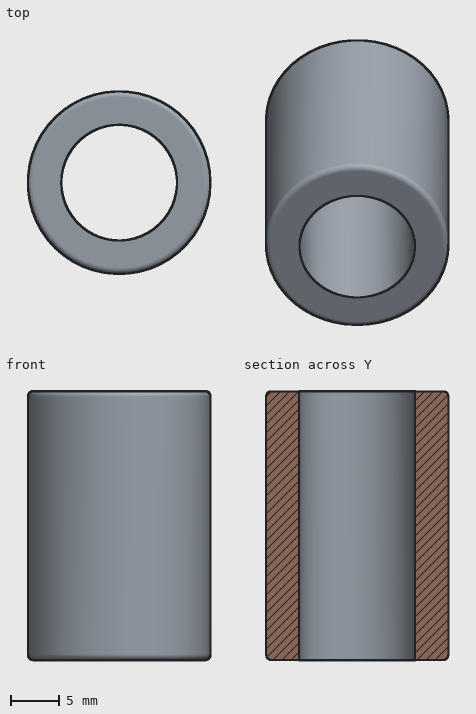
import cadquery as cq

length = 28.0
outer_diameter = 19.0
bore_diameter = 12.0
rim_radius = 0.6

body = cq.Workplane("XY").circle(outer_diameter / 2).extrude(length)
body = body.edges("%CIRCLE").fillet(rim_radius)

result = body.faces(">Z").workplane().hole(bore_diameter)